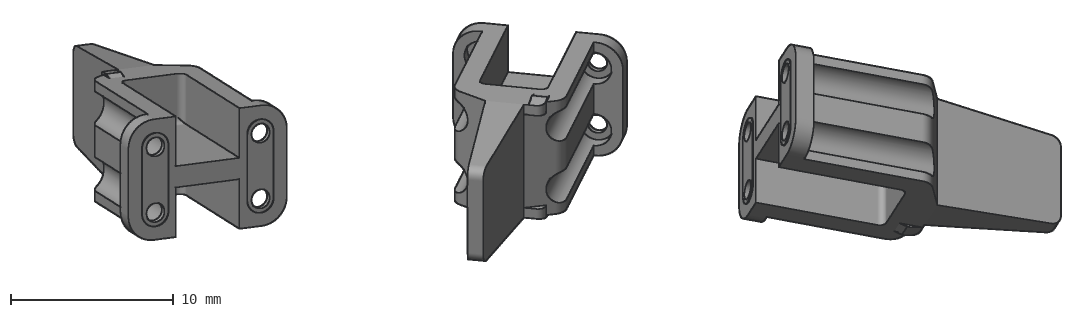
import cadquery as cq

LENGTH = 19.0
HEIGHT = 7.75

BLADE_LENGTH = 8.3
BLADE_TIP_WIDTH = 0.99
BLADE_TIP_HEIGHT = 6.35
BLADE_BASE_WIDTH = 2.43
BLADE_CORNER_RADIUS = 0.72

BODY_WIDTH = 7.03
SHOULDER_LENGTH = 1.18
SHOULDER_RADIUS = 0.95
WEB_THICKNESS = 1.37
POCKET_START = 10.6
POCKET_WIDTH = 4.3
POCKET_RADIUS = 0.44

PAD_THICKNESS = 0.05
FLANGE_THICKNESS = 1.18
FLANGE_WIDTH = 10.72
FLANGE_RADIUS = 1.71
HOLE_DIAMETER = 1.22
HOLE_SPACING_Y = 7.1
HOLE_SPACING_Z = 4.22
GROOVE_DIAMETER = 2.17
COUNTERBORE_DEPTH = 0.84
PAD_DIAMETER = 1.79

TAB_OUTER_Y = -2.49
TAB_THICKNESS = 0.68
TAB_RADIUS = 0.5
BUMP_HEIGHT = 0.15
BUMP_WIDTH = 0.99
BUMP_RAMP_UP = 0.8
BUMP_TOP = 0.23
BUMP_EASING_LENGTH = 0.11
BUMP_EASING_DROP = 0.04
BUMP_LENGTH = 1.52

flange_back = LENGTH - PAD_THICKNESS
flange_front = flange_back - FLANGE_THICKNESS
shoulder_end = BLADE_LENGTH + SHOULDER_LENGTH
hole_points = [
    (y * HOLE_SPACING_Y / 2, z * HOLE_SPACING_Z / 2) for y in (-1, 1) for z in (-1, 1)
]


def x_cylinders(diameter, start, end):
    """Cylinders along X, one on each screw axis."""
    plane = cq.Workplane("YZ", origin=(start, 0, 0))
    return plane.pushPoints(hole_points).circle(diameter / 2).extrude(end - start)


def make_blade():
    """Blade tapering in width and height, rounded at its tip corners."""
    return (
        cq.Workplane("YZ")
        .rect(BLADE_TIP_WIDTH, BLADE_TIP_HEIGHT)
        .workplane(offset=BLADE_LENGTH)
        .rect(BLADE_BASE_WIDTH, HEIGHT)
        .loft(ruled=True)
        .edges("<X and |Y")
        .fillet(BLADE_CORNER_RADIUS)
    )


def make_body():
    """Block with sloped, rounded shoulders beside the blade."""
    half_base = BLADE_BASE_WIDTH / 2
    half_width = BODY_WIDTH / 2
    outline = [
        (BLADE_LENGTH, -half_base),
        (shoulder_end, -half_width),
        (flange_back, -half_width),
        (flange_back, half_width),
        (shoulder_end, half_width),
        (BLADE_LENGTH, half_base),
    ]
    body = cq.Workplane("XY").polyline(outline).close().extrude(HEIGHT / 2, both=True)
    shoulders = cq.selectors.BoxSelector(
        (shoulder_end - 0.19, -BODY_WIDTH, -HEIGHT), (shoulder_end + 0.19, BODY_WIDTH, HEIGHT)
    )
    return body.edges("|Z").edges(shoulders).fillet(SHOULDER_RADIUS)


def make_flange():
    """Rounded rectangular plate at the rear end."""
    return (
        cq.Workplane("YZ", origin=(flange_front, 0, 0))
        .rect(FLANGE_WIDTH, HEIGHT)
        .extrude(FLANGE_THICKNESS)
        .edges("|X")
        .fillet(FLANGE_RADIUS)
    )


def make_upper_pocket():
    """Pocket open at the top and rear, rounded around its inner end."""
    floor_z = WEB_THICKNESS / 2
    return (
        cq.Workplane("XY", origin=(POCKET_START, 0, floor_z))
        .box(LENGTH - POCKET_START, POCKET_WIDTH, HEIGHT / 2 - floor_z, centered=(False, True, False))
        .faces("<X")
        .edges("not >Z")
        .fillet(POCKET_RADIUS)
    )


def make_rear_pads():
    """Thin obround pads, each surrounding one vertical pair of holes."""
    return (
        cq.Workplane("YZ", origin=(flange_back, 0, 0))
        .pushPoints([(-HOLE_SPACING_Y / 2, 0), (HOLE_SPACING_Y / 2, 0)])
        .slot2D(HOLE_SPACING_Z + PAD_DIAMETER, PAD_DIAMETER, 90)
        .extrude(PAD_THICKNESS)
    )


def make_upper_tab():
    """Rounded tab at the shoulder corner, flush with the top face."""
    width = -BLADE_BASE_WIDTH / 2 - TAB_OUTER_Y
    return (
        cq.Workplane("XY", origin=(BLADE_LENGTH, TAB_OUTER_Y, HEIGHT / 2 - TAB_THICKNESS))
        .rect(SHOULDER_LENGTH, width, centered=False)
        .extrude(TAB_THICKNESS)
        .edges("|Z and <X and <Y")
        .fillet(TAB_RADIUS)
    )


def make_upper_bump():
    """Low ramped bump on the top face, rounded in plan like the tab below it."""
    top = HEIGHT / 2
    top_end = BLADE_LENGTH + BUMP_RAMP_UP + BUMP_TOP
    profile = [
        (BLADE_LENGTH, top),
        (BLADE_LENGTH + BUMP_RAMP_UP, top + BUMP_HEIGHT),
        (top_end, top + BUMP_HEIGHT),
        (top_end + BUMP_EASING_LENGTH, top + BUMP_HEIGHT - BUMP_EASING_DROP),
        (BLADE_LENGTH + BUMP_LENGTH, top),
    ]
    ramps = (
        cq.Workplane("XZ", origin=(0, TAB_OUTER_Y, 0))
        .polyline(profile)
        .close()
        .extrude(-BUMP_WIDTH)
    )
    plan = (
        cq.Workplane("XY", origin=(BLADE_LENGTH, TAB_OUTER_Y, top))
        .rect(BUMP_LENGTH, BUMP_WIDTH, centered=False)
        .extrude(BUMP_HEIGHT)
        .edges("|Z and <X and <Y")
        .fillet(TAB_RADIUS)
    )
    return ramps.intersect(plan)


upper_pocket = make_upper_pocket()
upper_tab = make_upper_tab()
upper_bump = make_upper_bump()

result = (
    make_body()
    .union(make_flange())
    .union(make_rear_pads())
    .cut(upper_pocket)
    .cut(upper_pocket.mirror("XY"))
    .cut(x_cylinders(GROOVE_DIAMETER, BLADE_LENGTH, flange_front + COUNTERBORE_DEPTH))
    .cut(x_cylinders(HOLE_DIAMETER, flange_front, LENGTH))
    .union(make_blade())
)
for feature in (upper_tab, upper_bump):
    result = result.union(feature).union(feature.mirror("XY"))